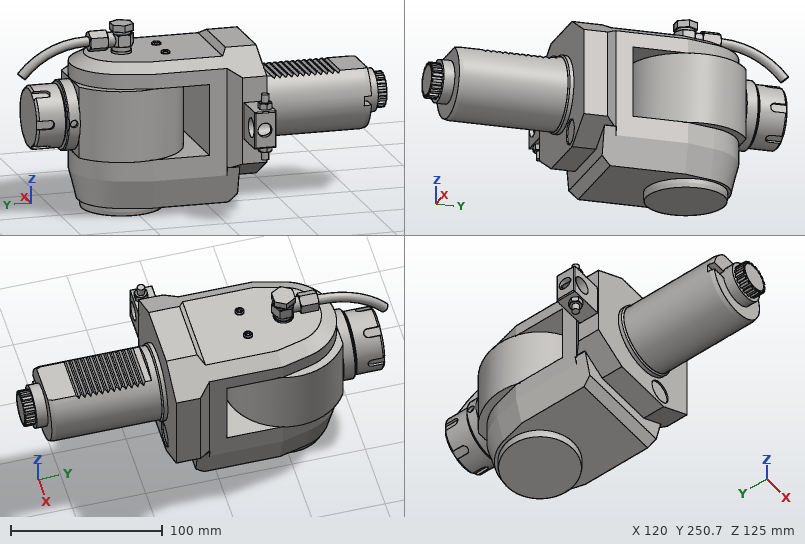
import cadquery as cq
import math


FLANGE_WIDTH = 95.0
FLANGE_HEIGHT = 88.0
FLANGE_HALF_WIDTH = FLANGE_WIDTH / 2
FLANGE_HALF_HEIGHT = FLANGE_HEIGHT / 2
FLANGE_FLAT_HALF_WIDTH = 22.3
FLANGE_SIDE_HALF_HEIGHT = 29.5
FLANGE_RIM = 16.5
RECESS_RADIUS = 8.5
RECESS_DEPTH = 1.0
RECESS_X = 18.5
RECESS_Z = -32.3

BODY_HALF_WIDTH = 39.0
BODY_TOP = 40.0
BODY_TAPER_START = -39.0
BODY_BOTTOM = -59.0
BODY_SHOULDER_Y = 75.2
BODY_TAPER = 14.2
BODY_FRONT_CHAMFER = 6.0
HEAD_Y = 86.0
HEAD_RADIUS = 35.0
DRUM_RADIUS = 40.9
WEDGE_TOP = -33.3
FLANGE_DEPTH = FLANGE_RIM + FLANGE_HALF_WIDTH - BODY_HALF_WIDTH
SLOT_HALF_HEIGHT = 24.3
SLOT_BACK_Y = 36.8
BASE_RADIUS = 27.8
BASE_HEIGHT = 6.0
BASE_CHAMFER_WIDTH = 0.5
BASE_CHAMFER_HEIGHT = 2.8

COLLAR_RADIUS = 23.5
COLLAR_LENGTH = 8.3
COLLAR_CHAMFER = 0.8
COLLAR_HOLE_RADIUS = 2.5
NUT_RADIUS = 21.3
NUT_GAP = 1.3
NUT_GROOVE_DEPTH = 2.0
NUT_LENGTH = 19.3
NUT_CHAMFER = 1.5
NUT_SLOT_COUNT = 6
NUT_SLOT_WIDTH = 6.0
NUT_SLOT_LENGTH = 11.8
NUT_SLOT_DEPTH = 2.0

SHANK_RADIUS = 25.0
SHANK_LENGTH = 78.7
SHANK_CHAMFER_WIDTH = 0.8
SHANK_CHAMFER_LENGTH = 3.0
SHANK_COLLAR_RADIUS = 26.3
SHANK_COLLAR_LENGTH = 3.8
SHANK_COLLAR_CHAMFER = 1.0
FLAT_HEIGHT = 19.8
FLAT_START = 8.3
TOOTH_PITCH = 4.0
TOOTH_GROOVES = 12
TOOTH_GROOVE_WIDTH = 3.0
TOOTH_GROOVE_DEPTH = 1.5
TOOTH_FIRST = 14.0
KEYWAY_WIDTH = 6.3
KEYWAY_LENGTH = 5.0
BOSS_RADIUS = 14.5
BOSS_LENGTH = 7.5

SPLINE_TEETH = 18
SPLINE_RADIUS = 12.0
SPLINE_ROOT_RADIUS = 10.3
SPLINE_TOOTH_WIDTH = 2.0
SPLINE_END_CLEARANCE = 0.5

FITTING_RADIUS = 6.3
FITTING_BASE_RADIUS = 6.8
FITTING_BASE_HEIGHT = 1.5
FITTING_NECK_TOP = 44.9
FITTING_HEX_TOP = 53.1
FITTING_HEX_CORNERS = 16.3
FITTING_HEAD_BOTTOM = 55.1
FITTING_HEAD_CORNERS = 16.3
FITTING_TOP = 60.0
HEX_CORNER_CHAMFER = 0.8
HOSE_Z = 49.0
HOSE_STUB_RADIUS = 5.0
HOSE_NUT_CORNERS = 14.0
HOSE_NUT_Y = 96.5
HOSE_NUT_LENGTH = 12.3
HOSE_RADIUS = 3.3
HOSE_STRAIGHT = 1.8
HOSE_BEND_RADIUS = 57.7
HOSE_BEND_ANGLE = 50.0

SCREW_X = 10.8
SCREW_Y = 59.0
SCREW_RADIUS = 3.0
SCREW_HEIGHT = 1.5
SCREW_CHAMFER = 0.8
SCREW_SOCKET = 3.3

OVERALL_WIDTH = 120.0
BRACKET_REACH = OVERALL_WIDTH - FLANGE_HALF_WIDTH
BRACKET_HALF_HEIGHT = 12.5
BRACKET_BACK = 0.8
BRACKET_FRONT = 15.5
BRACKET_CHAMFER = 0.8
BRACKET_HOLE_X = -64.2
BRACKET_HOLE_RADIUS = 6.5
BRACKET_SIDE_HOLE_Y = 8.5
BRACKET_SIDE_HOLE_RADIUS = 4.8
STUD_Y = 6.0
STUD_RADIUS = 2.5
STUD_END = 22.3
STUD_NUT_TOP = 16.8
STUD_NUT_CORNERS = 9.5

OVERLAP = 1.3

OVERALL_LENGTH = 250.7
HOSE_START_Y = HOSE_NUT_Y + HOSE_NUT_LENGTH + HOSE_STRAIGHT
HOSE_SIN = math.sin(math.radians(HOSE_BEND_ANGLE))
HOSE_COS = math.cos(math.radians(HOSE_BEND_ANGLE))
HOSE_TIP_Y = HOSE_START_Y + (HOSE_BEND_RADIUS + HOSE_RADIUS) * HOSE_SIN
SPLINE_END_Y = HOSE_TIP_Y - OVERALL_LENGTH
HEAD_FRONT_Y = HEAD_Y + HEAD_RADIUS


def plane_y(y, x=0, z=0):
    """Workplane facing +Y whose local axes are -X and +Z."""
    return cq.Workplane(cq.Plane((x, y, z), (-1, 0, 0), (0, 1, 0)))


def plane_z(z, x=0, y=0):
    return cq.Workplane("XY", origin=(x, y, z))


def cylinder_y(radius, y_start, y_end, x=0, z=0):
    return plane_y(y_start, x, z).circle(radius).extrude(y_end - y_start)


def cylinder_z(radius, z_start, z_end, x=0, y=0):
    return plane_z(z_start, x, y).circle(radius).extrude(z_end - z_start)


def block(x_range, y_range, z_range):
    ranges = (x_range, y_range, z_range)
    size = [high - low for low, high in ranges]
    return cq.Workplane("XY").box(*size, centered=False).translate([low for low, _ in ranges])


def hex_nut(corners, height):
    """Upright hexagon, two corners on the X axis, with turned chamfers at both ends."""
    turned = cylinder_z(corners / 2, 0, height).faces("<Z or >Z").chamfer(HEX_CORNER_CHAMFER)
    return plane_z(0).polygon(6, corners).extrude(height).intersect(turned)


def flange():
    right_side = [
        (FLANGE_FLAT_HALF_WIDTH, -FLANGE_HALF_HEIGHT),
        (FLANGE_HALF_WIDTH, -FLANGE_SIDE_HALF_HEIGHT),
        (FLANGE_HALF_WIDTH, FLANGE_SIDE_HALF_HEIGHT),
        (FLANGE_FLAT_HALF_WIDTH, FLANGE_HALF_HEIGHT),
    ]
    left_side = [(-x, z) for x, z in reversed(right_side)]
    octagon = plane_y(0).polyline(right_side + left_side).close().extrude(FLANGE_DEPTH)

    plan = [
        (FLANGE_HALF_WIDTH, 0),
        (FLANGE_HALF_WIDTH, FLANGE_RIM),
        (BODY_HALF_WIDTH, FLANGE_DEPTH),
        (-BODY_HALF_WIDTH, FLANGE_DEPTH),
        (-FLANGE_HALF_WIDTH, FLANGE_RIM),
        (-FLANGE_HALF_WIDTH, 0),
    ]
    plan_prism = plane_z(-FLANGE_HALF_HEIGHT).polyline(plan).close().extrude(2 * FLANGE_HALF_HEIGHT)

    side = [
        (0, -FLANGE_HALF_HEIGHT),
        (FLANGE_RIM, -FLANGE_HALF_HEIGHT),
        (FLANGE_RIM, WEDGE_TOP),
        (FLANGE_DEPTH, WEDGE_TOP),
        (FLANGE_DEPTH, BODY_TOP),
        (FLANGE_DEPTH - (FLANGE_HALF_HEIGHT - BODY_TOP), FLANGE_HALF_HEIGHT),
        (0, FLANGE_HALF_HEIGHT),
    ]
    side_prism = cq.Workplane("YZ").polyline(side).close().extrude(FLANGE_HALF_WIDTH, both=True)

    recess = cylinder_y(RECESS_RADIUS, 0, RECESS_DEPTH, RECESS_X, RECESS_Z)
    return octagon.intersect(plan_prism).intersect(side_prism).cut(recess)


def body_plan(z):
    """Parallel sides, then straight flanks running tangent into the rounded end."""
    shoulder_drop = HEAD_Y - BODY_SHOULDER_Y
    shoulder_distance = math.hypot(BODY_HALF_WIDTH, shoulder_drop)
    tangent_angle = math.acos(HEAD_RADIUS / shoulder_distance) - math.atan2(shoulder_drop, BODY_HALF_WIDTH)
    tangent_x = HEAD_RADIUS * math.cos(tangent_angle)
    tangent_y = HEAD_Y + HEAD_RADIUS * math.sin(tangent_angle)
    return (
        plane_z(z)
        .moveTo(-BODY_HALF_WIDTH, 0)
        .lineTo(BODY_HALF_WIDTH, 0)
        .lineTo(BODY_HALF_WIDTH, BODY_SHOULDER_Y)
        .lineTo(tangent_x, tangent_y)
        .threePointArc((0, HEAD_FRONT_Y), (-tangent_x, tangent_y))
        .lineTo(-BODY_HALF_WIDTH, BODY_SHOULDER_Y)
        .close()
    )


def body():
    slant_run = FLANGE_HALF_WIDTH - FLANGE_FLAT_HALF_WIDTH
    slant_rise = FLANGE_HALF_HEIGHT - FLANGE_SIDE_HALF_HEIGHT
    slope_start = FLANGE_SIDE_HALF_HEIGHT + (FLANGE_HALF_WIDTH - BODY_HALF_WIDTH) * slant_rise / slant_run
    slope_taper = math.degrees(math.atan2(slant_run, slant_rise))
    lower_height = BODY_TAPER_START - BODY_BOTTOM

    middle = body_plan(BODY_TAPER_START).extrude(slope_start - BODY_TAPER_START)
    upper = body_plan(slope_start).extrude(BODY_TOP - slope_start, taper=slope_taper)
    lower = body_plan(BODY_TAPER_START).extrude(-lower_height, taper=BODY_TAPER)
    shell = middle.union(upper).union(lower)

    width = (-FLANGE_HALF_WIDTH, FLANGE_HALF_WIDTH)
    shell = shell.cut(block(width, (-OVERLAP, FLANGE_RIM), (BODY_BOTTOM, BODY_TOP)))

    wedge_half_width = BODY_HALF_WIDTH + (WEDGE_TOP - BODY_TAPER_START) * math.tan(math.radians(BODY_TAPER))
    wedge = (
        plane_y(FLANGE_RIM)
        .polyline([
            (-BODY_HALF_WIDTH, BODY_TAPER_START),
            (BODY_HALF_WIDTH, BODY_TAPER_START),
            (wedge_half_width, WEDGE_TOP),
            (-wedge_half_width, WEDGE_TOP),
        ])
        .close()
        .extrude(FLANGE_DEPTH - FLANGE_RIM)
    )
    chamfer = (
        cq.Workplane("YZ")
        .polyline([
            (FLANGE_RIM, BODY_BOTTOM),
            (FLANGE_RIM + BODY_FRONT_CHAMFER, BODY_BOTTOM),
            (FLANGE_RIM, BODY_BOTTOM + BODY_FRONT_CHAMFER),
        ])
        .close()
        .extrude(FLANGE_HALF_WIDTH, both=True)
    )
    slot = block(width, (SLOT_BACK_Y, HEAD_FRONT_Y + OVERLAP), (-SLOT_HALF_HEIGHT, SLOT_HALF_HEIGHT))
    return shell.union(wedge).cut(chamfer).cut(slot)


def head_drum():
    """Drum between the two arms of the body, cut flat at the spindle face."""
    drum = cylinder_z(DRUM_RADIUS, -SLOT_HALF_HEIGHT, SLOT_HALF_HEIGHT, y=HEAD_Y)
    beyond_face = block(
        (-DRUM_RADIUS, DRUM_RADIUS),
        (HEAD_FRONT_Y, HEAD_Y + DRUM_RADIUS),
        (-SLOT_HALF_HEIGHT, SLOT_HALF_HEIGHT),
    )
    base = cylinder_z(BASE_RADIUS, BODY_BOTTOM - BASE_HEIGHT, BODY_BOTTOM + OVERLAP, y=HEAD_Y)
    return drum.cut(beyond_face).union(base.faces("<Z").chamfer(BASE_CHAMFER_HEIGHT, BASE_CHAMFER_WIDTH))


def collet_nut():
    collar_end = HEAD_FRONT_Y + COLLAR_LENGTH
    nut_start = collar_end + NUT_GAP
    nut_end = nut_start + NUT_LENGTH
    collar = cylinder_y(COLLAR_RADIUS, HEAD_FRONT_Y, collar_end).faces(">Y").chamfer(COLLAR_CHAMFER)
    neck = cylinder_y(NUT_RADIUS - NUT_GROOVE_DEPTH, collar_end - OVERLAP, nut_start + OVERLAP)
    nut = cylinder_y(NUT_RADIUS, nut_start, nut_end).faces(">Y").chamfer(NUT_CHAMFER)

    slot_round_y = nut_end - NUT_SLOT_LENGTH + NUT_SLOT_WIDTH / 2
    slot = (
        cq.Workplane("YZ", origin=(NUT_RADIUS - NUT_SLOT_DEPTH, 0, 0))
        .moveTo(nut_end, NUT_SLOT_WIDTH / 2)
        .lineTo(slot_round_y, NUT_SLOT_WIDTH / 2)
        .threePointArc((nut_end - NUT_SLOT_LENGTH, 0), (slot_round_y, -NUT_SLOT_WIDTH / 2))
        .lineTo(nut_end, -NUT_SLOT_WIDTH / 2)
        .close()
        .extrude(NUT_SLOT_DEPTH + OVERLAP)
    )
    for index in range(NUT_SLOT_COUNT):
        nut = nut.cut(slot.rotate((0, 0, 0), (0, 1, 0), index * 360 / NUT_SLOT_COUNT))

    hole = (
        cq.Workplane("YZ", origin=(-COLLAR_RADIUS, 0, 0))
        .center(HEAD_FRONT_Y + COLLAR_LENGTH / 2, 0)
        .circle(COLLAR_HOLE_RADIUS)
        .extrude(COLLAR_HOLE_RADIUS)
    )
    return collar.cut(hole).union(neck).union(nut)


def shank():
    stem = cylinder_y(SHANK_RADIUS, -SHANK_LENGTH, OVERLAP)
    stem = stem.faces("<Y").chamfer(SHANK_CHAMFER_LENGTH, SHANK_CHAMFER_WIDTH)
    collar = cylinder_y(SHANK_COLLAR_RADIUS, -SHANK_COLLAR_LENGTH, OVERLAP)
    collar = collar.faces("<Y").chamfer(SHANK_COLLAR_CHAMFER)
    width = (-SHANK_RADIUS, SHANK_RADIUS)
    stem = stem.cut(block(width, (-SHANK_LENGTH, -FLAT_START), (FLAT_HEIGHT, SHANK_RADIUS)))

    half_groove = TOOTH_GROOVE_WIDTH / 2
    groove = (
        cq.Workplane("YZ")
        .polyline([
            (-half_groove, FLAT_HEIGHT),
            (half_groove, FLAT_HEIGHT),
            (0, FLAT_HEIGHT - TOOTH_GROOVE_DEPTH),
        ])
        .close()
        .extrude(SHANK_RADIUS, both=True)
    )
    for index in range(TOOTH_GROOVES):
        stem = stem.cut(groove.translate((0, -TOOTH_FIRST - index * TOOTH_PITCH, 0)))

    keyway = block(
        (-SHANK_RADIUS, -BOSS_RADIUS + OVERLAP),
        (-SHANK_LENGTH, -SHANK_LENGTH + KEYWAY_LENGTH),
        (-KEYWAY_WIDTH / 2, KEYWAY_WIDTH / 2),
    )
    boss = cylinder_y(BOSS_RADIUS, -SHANK_LENGTH - BOSS_LENGTH, -SHANK_LENGTH + KEYWAY_LENGTH)
    return stem.union(collar).cut(keyway).union(boss)


def spline():
    start = -SHANK_LENGTH - BOSS_LENGTH + OVERLAP
    core = cylinder_y(SPLINE_ROOT_RADIUS, SPLINE_END_Y, start)
    tooth = block(
        (SPLINE_ROOT_RADIUS - OVERLAP, SPLINE_RADIUS),
        (SPLINE_END_Y + SPLINE_END_CLEARANCE, start),
        (-SPLINE_TOOTH_WIDTH / 2, SPLINE_TOOTH_WIDTH / 2),
    )
    for index in range(SPLINE_TEETH):
        core = core.union(tooth.rotate((0, 0, 0), (0, 1, 0), index * 360 / SPLINE_TEETH))
    return core


def coolant_fitting():
    post = cylinder_z(FITTING_RADIUS, BODY_TOP - OVERLAP, FITTING_HEAD_BOTTOM + OVERLAP, y=HEAD_Y)
    base = cylinder_z(FITTING_BASE_RADIUS, BODY_TOP - OVERLAP, BODY_TOP + FITTING_BASE_HEIGHT, y=HEAD_Y)
    hexagon = (
        hex_nut(FITTING_HEX_CORNERS, FITTING_HEX_TOP - FITTING_NECK_TOP)
        .rotate((0, 0, 0), (0, 0, 1), 90)
        .translate((0, HEAD_Y, FITTING_NECK_TOP))
    )
    head = (
        plane_z(FITTING_HEAD_BOTTOM, y=HEAD_Y)
        .polygon(6, FITTING_HEAD_CORNERS)
        .extrude(FITTING_TOP - FITTING_HEAD_BOTTOM)
    )
    stub = cylinder_y(HOSE_STUB_RADIUS, HEAD_Y, HOSE_NUT_Y + OVERLAP, z=HOSE_Z)
    hose_nut = (
        hex_nut(HOSE_NUT_CORNERS, HOSE_NUT_LENGTH)
        .rotate((0, 0, 0), (0, 0, 1), 90)
        .rotate((0, 0, 0), (1, 0, 0), -90)
        .translate((0, HOSE_NUT_Y, HOSE_Z))
    )
    return post.union(base).union(hexagon).union(head).union(stub).union(hose_nut)


def hose():
    """Short straight piece out of the nut, then one bend down towards the tool."""
    half_angle = math.radians(HOSE_BEND_ANGLE / 2)
    bend_middle = (
        HOSE_START_Y + HOSE_BEND_RADIUS * math.sin(half_angle),
        HOSE_Z - HOSE_BEND_RADIUS * (1 - math.cos(half_angle)),
    )
    bend_end = (
        HOSE_START_Y + HOSE_BEND_RADIUS * HOSE_SIN,
        HOSE_Z - HOSE_BEND_RADIUS * (1 - HOSE_COS),
    )
    inner_y = HOSE_NUT_Y + OVERLAP
    path = (
        cq.Workplane("YZ")
        .moveTo(inner_y, HOSE_Z)
        .lineTo(HOSE_START_Y, HOSE_Z)
        .threePointArc(bend_middle, bend_end)
    )
    return plane_y(inner_y, z=HOSE_Z).circle(HOSE_RADIUS).sweep(path)


def top_screw(x):
    screw_top = BODY_TOP + SCREW_HEIGHT
    screw = cylinder_z(SCREW_RADIUS, BODY_TOP - OVERLAP, screw_top, x, SCREW_Y)
    socket = plane_z(BODY_TOP, x, SCREW_Y).polygon(6, SCREW_SOCKET).extrude(SCREW_HEIGHT)
    return screw.faces(">Z").chamfer(SCREW_CHAMFER).cut(socket)


def bracket():
    plate = block(
        (-BRACKET_REACH, -FLANGE_HALF_WIDTH + OVERLAP),
        (BRACKET_BACK, BRACKET_FRONT),
        (-BRACKET_HALF_HEIGHT, BRACKET_HALF_HEIGHT),
    )
    plate = plate.faces("<X").chamfer(BRACKET_CHAMFER)
    plate = plate.cut(cylinder_y(BRACKET_HOLE_RADIUS, BRACKET_BACK, BRACKET_FRONT, BRACKET_HOLE_X))
    side_hole = (
        cq.Workplane("YZ", origin=(-BRACKET_REACH, BRACKET_SIDE_HOLE_Y, 0))
        .circle(BRACKET_SIDE_HOLE_RADIUS)
        .extrude(BRACKET_REACH + BRACKET_HOLE_X)
    )
    plate = plate.cut(side_hole)

    stud_start = BRACKET_HALF_HEIGHT - OVERLAP
    stud = cylinder_z(STUD_RADIUS, stud_start, STUD_END, BRACKET_HOLE_X, STUD_Y)
    stud_nut = hex_nut(STUD_NUT_CORNERS, STUD_NUT_TOP - stud_start)
    stud_nut = stud_nut.translate((BRACKET_HOLE_X, STUD_Y, stud_start))
    upper_stud = stud.union(stud_nut)
    return plate.union(upper_stud).union(upper_stud.mirror("XY"))


result = flange()
pieces = [
    body(),
    head_drum(),
    collet_nut(),
    shank(),
    spline(),
    coolant_fitting(),
    hose(),
    top_screw(-SCREW_X),
    top_screw(SCREW_X),
    bracket(),
]
for piece in pieces:
    result = result.union(piece)